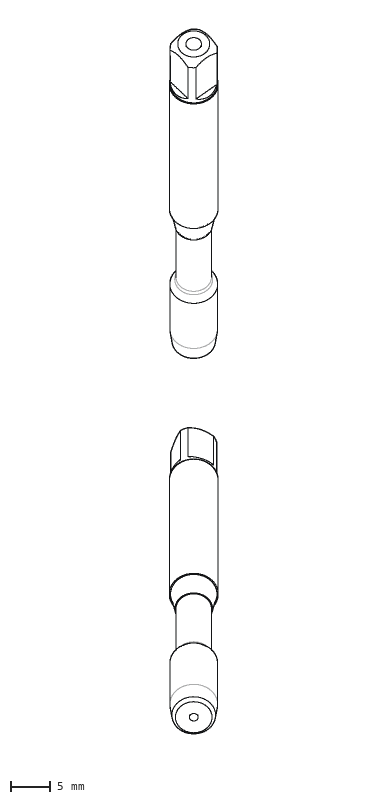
import cadquery as cq
import math

TOTAL_LENGTH = 66.0
HEAD_LENGTH = 13.0

HEAD_DIAMETER = 6.15
HEAD_BORE_DIAMETER = 1.1
LEAD_LENGTH = 3.05
LEAD_DIAMETER = 5.6
TIP_CHAMFER = 0.45

NECK_DIAMETER = 4.55
NECK_BOTTOM_Z = 14.25
NECK_FILLET_RADIUS = 1.0
NECK_TOP_Z = 26.1

SHANK_DIAMETER = 6.3
SHANK_BOTTOM_Z = 29.65
SHANK_TAPER_TOP_DIAMETER = 5.95
SHANK_TAPER_BOTTOM_DIAMETER = 4.8
SHANK_BORE_DIAMETER = 2.0

DRIVE_LENGTH = 8.85
DRIVE_DIAMETER = 6.1
DRIVE_ACROSS_FLATS = 4.95
DRIVE_TOP_CHAMFER = 1.0
FLAT_LENGTH = 7.9
RUNOUT_ANGLE = 35


def revolve_profile(points):
    """Revolve a closed (radius, z) outline about the Z axis."""
    return cq.Workplane("XZ").polyline(points).close().revolve(360, (0, 0), (0, 1))


def make_head():
    """Cylindrical threading head with a tapered lead, a tip chamfer and a bore."""
    radius = HEAD_DIAMETER / 2
    lead_radius = LEAD_DIAMETER / 2
    bore_radius = HEAD_BORE_DIAMETER / 2
    return revolve_profile([
        (bore_radius, 0),
        (lead_radius - TIP_CHAMFER, 0),
        (lead_radius, TIP_CHAMFER),
        (radius, LEAD_LENGTH),
        (radius, HEAD_LENGTH),
        (bore_radius, HEAD_LENGTH),
    ])


def make_shank_blank():
    """Turned shank: flared neck, taper, main cylinder, drive end and a bore down to the head."""
    bore_radius = SHANK_BORE_DIAMETER / 2
    neck_radius = NECK_DIAMETER / 2
    shank_radius = SHANK_DIAMETER / 2
    drive_radius = DRIVE_DIAMETER / 2
    shoulder_z = TOTAL_LENGTH - DRIVE_LENGTH
    shoulder_chamfer = shank_radius - drive_radius
    blank = revolve_profile([
        (bore_radius, HEAD_LENGTH),
        (HEAD_DIAMETER / 2, HEAD_LENGTH),
        (neck_radius, NECK_BOTTOM_Z),
        (neck_radius, NECK_TOP_Z),
        (SHANK_TAPER_BOTTOM_DIAMETER / 2, NECK_TOP_Z),
        (SHANK_TAPER_TOP_DIAMETER / 2, SHANK_BOTTOM_Z),
        (shank_radius, SHANK_BOTTOM_Z),
        (shank_radius, shoulder_z),
        (drive_radius, shoulder_z + shoulder_chamfer),
        (drive_radius, TOTAL_LENGTH - DRIVE_TOP_CHAMFER),
        (drive_radius - DRIVE_TOP_CHAMFER, TOTAL_LENGTH),
        (bore_radius, TOTAL_LENGTH),
    ])
    neck_corner = cq.selectors.NearestToPointSelector((0, 0, NECK_BOTTOM_Z))
    return blank.edges("%CIRCLE").edges(neck_corner).fillet(NECK_FILLET_RADIUS)


def make_flat_cutter():
    """Material removed for one drive flat, with a sloped run-out at its lower end."""
    inner_x = DRIVE_ACROSS_FLATS / 2
    outer_x = SHANK_DIAMETER
    flat_bottom_z = TOTAL_LENGTH - FLAT_LENGTH
    runout_bottom_z = flat_bottom_z - (outer_x - inner_x) * math.tan(math.radians(RUNOUT_ANGLE))
    return (
        cq.Workplane("XZ")
        .polyline([
            (inner_x, TOTAL_LENGTH),
            (inner_x, flat_bottom_z),
            (outer_x, runout_bottom_z),
            (outer_x, TOTAL_LENGTH),
        ])
        .close()
        .extrude(SHANK_DIAMETER, both=True)
    )


def make_shank():
    """Shank with the four flats of the square drive."""
    shank = make_shank_blank()
    flat_cutter = make_flat_cutter()
    flat_count = 4
    for index in range(flat_count):
        angle = index * 360 / flat_count
        shank = shank.cut(flat_cutter.rotate((0, 0, 0), (0, 0, 1), angle))
    return shank


head = make_head()
shank = make_shank()
result = cq.Compound.makeCompound([head.val(), shank.val()])